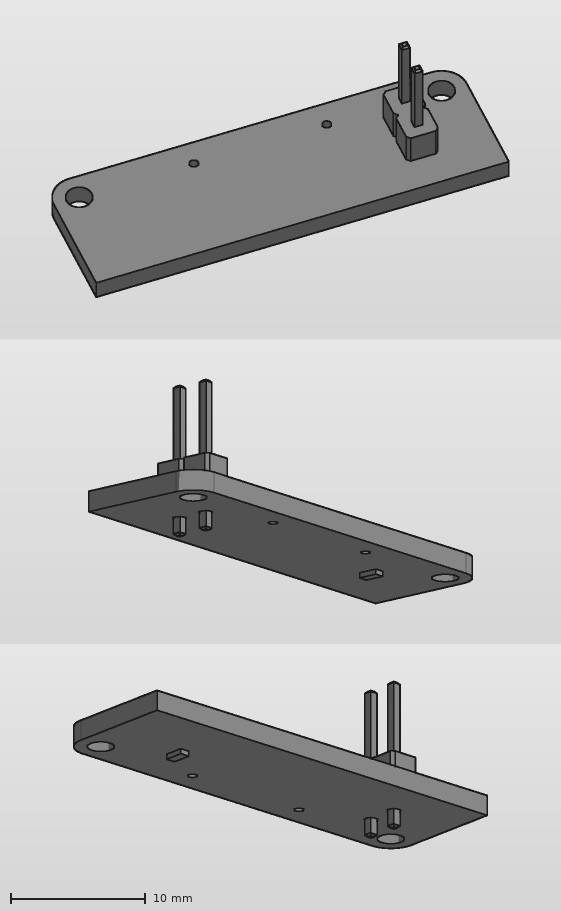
import cadquery as cq

BOARD_LENGTH = 33.0
BOARD_WIDTH = 10.5
BOARD_THICKNESS = 1.6
CORNER_RADIUS = 2.0

MOUNT_HOLE_DIAMETER = 2.0
MOUNT_HOLE_Y = BOARD_LENGTH / 2 - CORNER_RADIUS

WIRE_HOLE_DIAMETER = 0.7
WIRE_HOLE_Y = 5.3

MOUNTING_GAP = 0.05

PIN_COUNT = 2
PIN_PITCH = 2.55
FIRST_PIN_X = 4.0
HEADER_Y = BOARD_LENGTH / 2 - 5.78
HOUSING_TOP_Z = 2.57
HOUSING_CHAMFER = 0.25
PIN_SIDE = 0.65
PIN_TOP_Z = 8.6
PIN_LENGTH = 11.55
PIN_BOTTOM_Z = PIN_TOP_Z - PIN_LENGTH
PIN_TIP_CHAMFER = 0.15
PIN_HOLE_DIAMETER = 1.0
PIN_POSITIONS = [(FIRST_PIN_X + i * PIN_PITCH, HEADER_Y) for i in range(PIN_COUNT)]

CHIP_LENGTH = 1.6
CHIP_WIDTH = 0.8
CHIP_HEIGHT = 0.4
CHIP_X = 5.0
CHIP_Y = BOARD_LENGTH / 2 - 26.0


def make_board():
    """Plate rounded at its two left corners, with all its through holes."""
    board = (
        cq.Workplane("XY")
        .box(BOARD_WIDTH, BOARD_LENGTH, BOARD_THICKNESS, centered=(False, True, False))
        .translate((0, 0, -BOARD_THICKNESS))
        .edges("|Z and <X")
        .fillet(CORNER_RADIUS)
    )
    hole_groups = [
        (MOUNT_HOLE_DIAMETER, [(CORNER_RADIUS, MOUNT_HOLE_Y), (CORNER_RADIUS, -MOUNT_HOLE_Y)]),
        (WIRE_HOLE_DIAMETER, [(CORNER_RADIUS, WIRE_HOLE_Y), (CORNER_RADIUS, -WIRE_HOLE_Y)]),
        (PIN_HOLE_DIAMETER, PIN_POSITIONS),
    ]
    for diameter, centres in hole_groups:
        holes = (
            cq.Workplane("XY")
            .pushPoints(centres)
            .circle(diameter / 2)
            .extrude(-BOARD_THICKNESS)
        )
        board = board.cut(holes)
    return board


def make_housing_cell(x, y):
    """Block around one pin, with its upright edges chamfered."""
    return (
        cq.Workplane("XY")
        .box(PIN_PITCH, PIN_PITCH, HOUSING_TOP_Z - MOUNTING_GAP, centered=(True, True, False))
        .edges("|Z")
        .chamfer(HOUSING_CHAMFER)
        .translate((x, y, MOUNTING_GAP))
    )


def make_pin(x, y):
    """Square pin with a tapered tip at each end."""
    return (
        cq.Workplane("XY")
        .box(PIN_SIDE, PIN_SIDE, PIN_LENGTH, centered=(True, True, False))
        .faces("<Z or >Z")
        .chamfer(PIN_TIP_CHAMFER)
        .translate((x, y, PIN_BOTTOM_Z))
    )


def make_header():
    """Row of housing cells and their pins, joined into one solid."""
    header = cq.Workplane("XY")
    for x, y in PIN_POSITIONS:
        header = header.union(make_housing_cell(x, y)).union(make_pin(x, y))
    return header


def make_chip():
    """Small block just below the underside of the board."""
    return (
        cq.Workplane("XY")
        .box(CHIP_LENGTH, CHIP_WIDTH, CHIP_HEIGHT, centered=(True, True, False))
        .translate((CHIP_X, CHIP_Y, -BOARD_THICKNESS - MOUNTING_GAP - CHIP_HEIGHT))
    )


board = make_board()
header = make_header()
chip = make_chip()

result = cq.Compound.makeCompound([board.val(), header.val(), chip.val()])